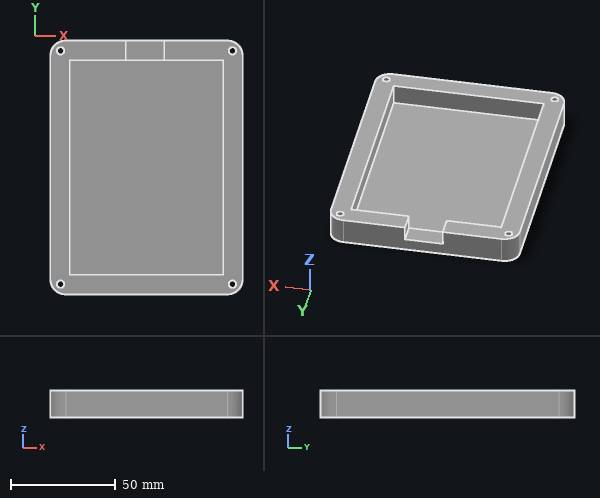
import cadquery as cq

LENGTH_X = 92.5
LENGTH_Y = 122.0
HEIGHT = 13.0
CORNER_RADIUS = 7.5

WALL = 9.5
FLOOR = 3.0

NOTCH_WIDTH = 18.5
NOTCH_CENTER_X = -0.75
NOTCH_DEPTH = 7.0

HOLE_DIAMETER = 3.4
HOLE_INSET = 5.0


def make_body():
    """Solid block with rounded vertical corners."""
    block = cq.Workplane("XY").box(LENGTH_X, LENGTH_Y, HEIGHT, centered=(True, True, False))
    return block.edges("|Z").fillet(CORNER_RADIUS)


def make_pocket():
    """Cavity that leaves an equal wall on all sides and a floor below."""
    return (
        cq.Workplane("XY")
        .workplane(offset=FLOOR)
        .rect(LENGTH_X - 2 * WALL, LENGTH_Y - 2 * WALL)
        .extrude(HEIGHT - FLOOR)
    )


def make_notch():
    """Opening cut down from the top of the +Y wall."""
    return (
        cq.Workplane("XY")
        .workplane(offset=HEIGHT - NOTCH_DEPTH)
        .center(NOTCH_CENTER_X, (LENGTH_Y - WALL) / 2)
        .rect(NOTCH_WIDTH, WALL)
        .extrude(NOTCH_DEPTH)
    )


def make_screw_holes():
    """Four through holes, one near each corner."""
    return (
        cq.Workplane("XY")
        .rect(LENGTH_X - 2 * HOLE_INSET, LENGTH_Y - 2 * HOLE_INSET, forConstruction=True)
        .vertices()
        .circle(HOLE_DIAMETER / 2)
        .extrude(HEIGHT)
    )


result = make_body().cut(make_pocket()).cut(make_notch()).cut(make_screw_holes())